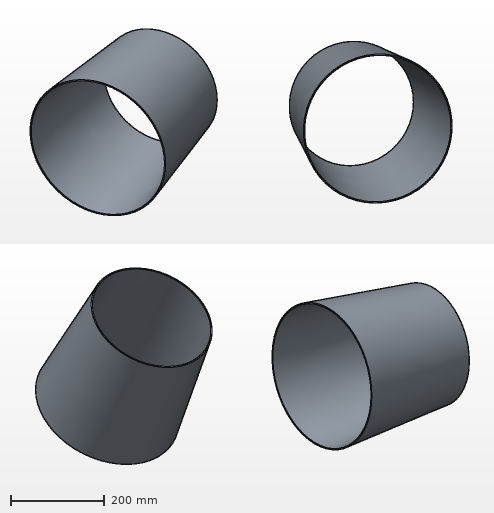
import cadquery as cq

large_diameter = 324.0
small_diameter = 273.0
length = 300.0
wall = 3.0

large_radius = large_diameter / 2
small_radius = small_diameter / 2

wall_section = [
    (large_radius - wall, 0),
    (large_radius, 0),
    (small_radius, length),
    (small_radius - wall, length),
]

result = (
    cq.Workplane("XY")
    .polyline(wall_section)
    .close()
    .revolve(360, (0, 0, 0), (0, 1, 0))
)